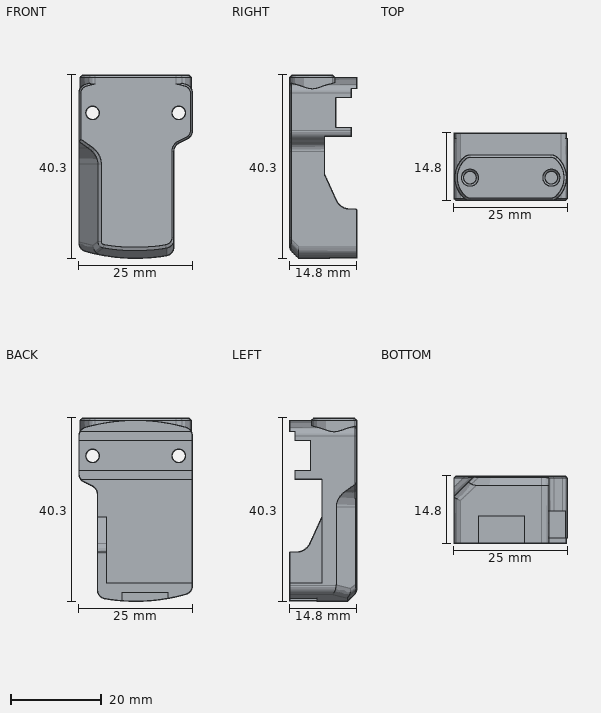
import cadquery as cq
import math

half_width = 12.5
depth = 14.8
crown_top = 39.8
grip_right = 8.42
grip_joint_z = 16.1
arch_radius = 40.3
corner_radius = 2.0
front_chamfer = 0.45
bottom_bevel = 2.0

shoulder_outer_z = 26.85
shoulder_slope = 0.5

relief_leg = 4.5
relief_straight_top = 20.75
relief_radius = 4.9
relief_angle = math.radians(45)

window_y = 7.7
window_bottom = 4.07
window_top = 26.85
slot_y = 10.2
slot_bottom = 28.8
slot_top = 35.35
recess_y = 13.62
recess_top = 37.3

wall_thickness = 2.0
wall_high_z = 18.55
wall_low_z = 10.9
wall_slope = 2.2
wall_blend_radius = 3.22
wall_tip_radius = 0.3

underside_half_width = 5.05
underside_y = 8.8
underside_top = 2.0

lug_top = 40.3
lug_half_width = 12.25
lug_depth = 10.0
lug_end_radius = 6.0
lug_corner_radius = 2.0
lug_chamfer = 0.52

top_hole_diameter = 2.8
top_hole_mouth_diameter = 3.75
top_hole_x = 8.95
top_hole_depth = 5.0
front_hole_diameter = 2.9
front_hole_x = 9.47
front_hole_z = 32.0

margin = 0.4


def arch_drop(x):
    """Distance an arched end has receded from its crown at a given X."""
    return arch_radius - math.sqrt(arch_radius**2 - x**2)


def box(x_range, y_range, z_range):
    """Box spanning the given ranges."""
    low, high = zip(x_range, y_range, z_range)
    size = [end - start for start, end in zip(low, high)]
    return cq.Workplane("XY").box(*size, centered=False).translate(low)


def edges_in(shape, x_range, y_range, z_range):
    """Edges whose centres lie inside the given ranges."""
    return shape.edges(cq.selectors.BoxSelector(*zip(x_range, y_range, z_range)))


def make_upper_body():
    """Head, shoulder and straight upper part of the grip."""
    side_top = crown_top - arch_drop(half_width)
    shoulder_inner_z = shoulder_outer_z - shoulder_slope * (half_width - grip_right)
    upper = (
        cq.Workplane("XZ")
        .moveTo(-half_width, grip_joint_z)
        .lineTo(-half_width, side_top)
        .threePointArc((0, crown_top), (half_width, side_top))
        .lineTo(half_width, shoulder_outer_z)
        .lineTo(grip_right, shoulder_inner_z)
        .lineTo(grip_right, grip_joint_z)
        .close()
        .extrude(-depth)
    )
    all_x = (-half_width - margin, half_width + margin)
    corners = edges_in(upper, all_x, (0, depth), (grip_joint_z + margin, lug_top)).edges("|Y")
    return corners.fillet(corner_radius)


def make_grip_end():
    """Lower part of the grip, its front layer slanting upward to form the bottom bevel."""
    block = (
        cq.Workplane("XZ", origin=(0, bottom_bevel, 0))
        .moveTo(-half_width, arch_drop(half_width))
        .lineTo(-half_width, grip_joint_z)
        .lineTo(grip_right, grip_joint_z)
        .lineTo(grip_right, arch_drop(grip_right))
        .threePointArc((0, 0), (-half_width, arch_drop(half_width)))
        .close()
        .extrude(bottom_bevel - depth)
    )
    block = block.faces(">X").edges("|Y").edges("<Z").fillet(corner_radius)
    slant = cq.Vector(0, -bottom_bevel, bottom_bevel)
    front_layer = cq.Solid.extrudeLinear(block.faces("<Y").val(), slant)
    return block.union(cq.Workplane(front_layer))


def relief_cutter():
    """Prism lying along the 45 degree flat; its profile runs outward from the flat and up Z."""
    reach = math.sqrt(2) * relief_leg

    def arc_point(angle):
        out = relief_radius * (1 - math.cos(angle))
        up = relief_straight_top + relief_radius * math.sin(angle)
        return out, up

    arc_end = arc_point(relief_angle)
    run_out_z = arc_end[1] + (reach - arc_end[0]) / math.tan(relief_angle)
    plane = cq.Plane((relief_leg - half_width, 0, 0), (-1, -1, 0), (-1, 1, 0))
    return (
        cq.Workplane(plane)
        .moveTo(0, -margin)
        .lineTo(0, relief_straight_top)
        .threePointArc(arc_point(relief_angle / 2), arc_end)
        .lineTo(reach, run_out_z)
        .lineTo(reach, -margin)
        .close()
        .extrude(2 * reach, both=True)
    )


def round_lower_left(body):
    """Round the bottom edges below the -X side and below the relief flat."""
    x_range = (-half_width - margin, relief_leg - half_width + margin)
    return edges_in(body, x_range, (-margin, depth + margin), (margin, window_bottom)).fillet(corner_radius)


def back_openings():
    """Window, slot and recess that open the back, as one cutter."""
    all_x = (-half_width - margin, half_width + margin)
    back = depth + margin
    window = box(all_x, (window_y, back), (window_bottom, window_top))
    slot = box(all_x, (slot_y, back), (slot_bottom, slot_top))
    recess = box(all_x, (recess_y, back), (window_bottom, recess_top))
    return window.union(slot).union(recess)


def make_side_wall():
    """Wall whose top edge slopes down toward the back and levels out."""
    wall_left = grip_right - wall_thickness
    slope_foot_y = window_y + (wall_high_z - wall_low_z) / wall_slope
    wall = (
        cq.Workplane("YZ", origin=(wall_left, 0, 0))
        .moveTo(window_y, window_bottom)
        .lineTo(window_y, wall_high_z)
        .lineTo(slope_foot_y, wall_low_z)
        .lineTo(depth, wall_low_z)
        .lineTo(depth, window_bottom)
        .close()
        .extrude(wall_thickness)
    )

    def top_edge(shape, y):
        near_y = (y - margin, y + margin)
        near_z = (wall_low_z - margin, wall_low_z + margin)
        return edges_in(shape, (wall_left, grip_right), near_y, near_z).edges("|X")

    wall = top_edge(wall, depth).fillet(wall_tip_radius)
    return top_edge(wall, slope_foot_y).fillet(wall_blend_radius)


def make_underside_recess():
    grip_centre_x = (grip_right - half_width) / 2
    x_range = (grip_centre_x - underside_half_width, grip_centre_x + underside_half_width)
    return box(x_range, (underside_y, depth + margin), (-margin, underside_top))


def make_lug():
    """Long lug with bulging ends, reaching down into the head."""
    centre_y = lug_depth / 2
    arc_reach = math.sqrt(lug_end_radius**2 - centre_y**2)
    corner_x = lug_half_width - lug_end_radius + arc_reach
    lug = (
        cq.Workplane("XY", origin=(0, 0, slot_top))
        .moveTo(-corner_x, 0)
        .lineTo(corner_x, 0)
        .threePointArc((lug_half_width, centre_y), (corner_x, lug_depth))
        .lineTo(-corner_x, lug_depth)
        .threePointArc((-lug_half_width, centre_y), (-corner_x, 0))
        .close()
        .extrude(lug_top - slot_top)
    )
    return lug.edges("|Z").fillet(lug_corner_radius).faces(">Z").chamfer(lug_chamfer)


def drill_holes(body):
    """Countersunk blind holes in the lug and holes through the head from the front."""
    both_sides = (-1, 1)
    lug_points = [(side * top_hole_x, lug_depth / 2) for side in both_sides]
    head_points = [(side * front_hole_x, front_hole_z) for side in both_sides]
    bores = (
        cq.Workplane("XY", origin=(0, 0, lug_top))
        .pushPoints(lug_points)
        .circle(top_hole_diameter / 2)
        .extrude(-top_hole_depth)
    )
    through_holes = (
        cq.Workplane("XZ")
        .pushPoints(head_points)
        .circle(front_hole_diameter / 2)
        .extrude(-depth)
    )
    body = body.cut(bores).cut(through_holes)
    mouth_width = (top_hole_mouth_diameter - top_hole_diameter) / 2
    return body.faces(">Z").edges("%CIRCLE").edges(cq.selectors.RadiusNthSelector(0)).chamfer(mouth_width)


result = make_upper_body().union(make_grip_end()).clean()
result = result.cut(relief_cutter())
result = round_lower_left(result)
result = result.faces("<Y").chamfer(front_chamfer)

result = result.cut(back_openings())
result = result.union(make_side_wall())
result = result.union(make_lug())
result = result.cut(make_underside_recess())
result = drill_holes(result)